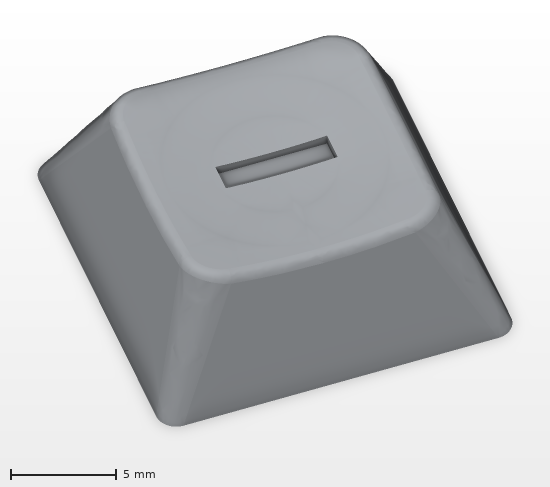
import cadquery as cq

base_width = 18.0
base_corner_radius = 1.0
top_width = 12.67
top_corner_radius = 2.0
loft_height = 6.95

dish_radius = 41.4
dish_bottom_height = 6.0
rim_fillet = 0.6

slot_width = 1.44
slot_length = 5.67
slot_depth = 0.45
slot_center = (-0.09, 0.1)


def rounded_square(width, corner_radius):
    """Closed outline of a square with rounded corners, centred on the origin."""
    return cq.Sketch().rect(width, width).vertices().fillet(corner_radius)


def tapered_body():
    """Square frustum whose rounded corners widen towards the top."""
    base_outline = rounded_square(base_width, base_corner_radius)
    top_outline = rounded_square(top_width, top_corner_radius)
    raised_top = top_outline.moved(cq.Location(cq.Vector(0, 0, loft_height)))
    return cq.Workplane("XY").placeSketch(base_outline, raised_top).loft()


def dish_ball():
    """Large sphere that hollows the top, lowest point on the Z axis."""
    return cq.Workplane("XY").sphere(dish_radius).translate((0, 0, dish_bottom_height + dish_radius))


def slot():
    """Flat-floored rectangular slot cut down into the dish."""
    return (
        cq.Workplane("XY", origin=(*slot_center, dish_bottom_height - slot_depth))
        .rect(slot_width, slot_length)
        .extrude(loft_height)
    )


cap = tapered_body().cut(dish_ball())
cap = cap.faces("%SPHERE").edges().fillet(rim_fillet)
result = cap.cut(slot())